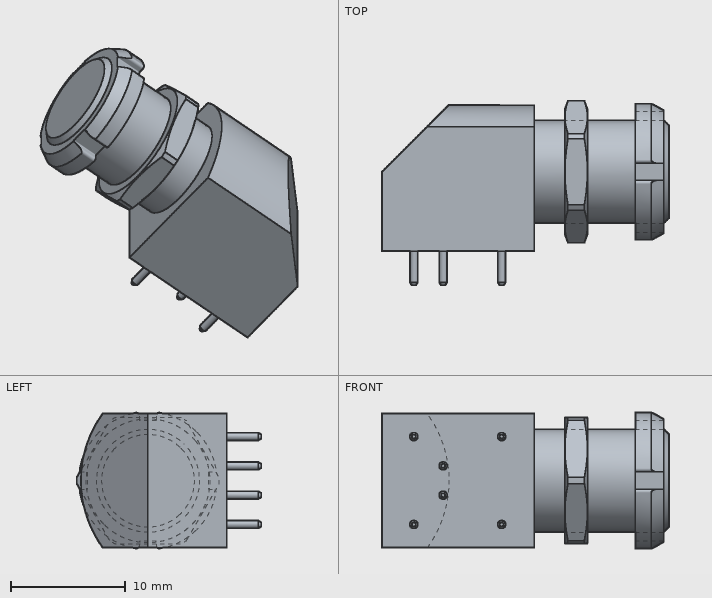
import cadquery as cq
import math


BLOCK_LENGTH = 13.28
BLOCK_HALF_HEIGHT = 5.85
BLOCK_BOTTOM_Y = -6.9
CROWN_TOP_Y = 5.82
CROWN_EDGE_Y = 3.92

OVERALL_LENGTH = 25.0
BARREL_RADIUS = 8.98 / 2
BARREL_TIP_CHAMFER = 0.45

PIN_RADIUS = 0.7 / 2
PIN_END_Y = -9.9
PIN_TIP_LENGTH = 0.28
PIN_TIP_RADIUS = 0.18
PIN_PITCH = 2.55
FIRST_PIN_X = 2.78
PIN_PLACES = [
    (FIRST_PIN_X + column * PIN_PITCH, side * row * PIN_PITCH)
    for column, row in ((0, 1.5), (1, 0.5), (3, 1.5))
    for side in (-1, 1)
]

NUT_START_X = 15.9
NUT_WIDTH = 2.02
NUT_ACROSS_FLATS = 11.0
NUT_CORNER_RADIUS = 6.2
NUT_FACE_RADIUS = 5.4
NUT_BEVEL_LENGTH = 0.3

RING_START_X = 22.08
RING_END_X = OVERALL_LENGTH - BARREL_TIP_CHAMFER
RING_CONE_START_X = 23.45
RING_RADIUS = 12.02 / 2
RING_END_RADIUS = 5.4
SLOT_COUNT = 4
SLOT_WIDTH = 1.5
SLOT_FLOOR_RADIUS = 5.25
SLOT_FLOOR_FILLET = 0.08
SLOT_EDGE_FILLET = 0.25


def x_cylinder(radius, start_x, end_x):
    """Solid cylinder on the X axis."""
    return cq.Workplane("YZ", origin=(start_x, 0, 0)).circle(radius).extrude(end_x - start_x)


def revolve_about_x(points):
    """Revolve a closed outline of (x, radius) points about the X axis."""
    return cq.Workplane("XY").polyline(points).close().revolve(360, (0, 0, 0), (1, 0, 0))


def make_block():
    """Block with an arched crown and its rear upper corner cut off at 45 degrees."""
    block = (
        cq.Workplane("YZ")
        .moveTo(BLOCK_BOTTOM_Y, -BLOCK_HALF_HEIGHT)
        .lineTo(CROWN_EDGE_Y, -BLOCK_HALF_HEIGHT)
        .threePointArc((CROWN_TOP_Y, 0), (CROWN_EDGE_Y, BLOCK_HALF_HEIGHT))
        .lineTo(BLOCK_BOTTOM_Y, BLOCK_HALF_HEIGHT)
        .close()
        .extrude(BLOCK_LENGTH)
    )
    corner = (
        cq.Workplane("XY")
        .polyline([(0, 0), (CROWN_TOP_Y, CROWN_TOP_Y), (0, CROWN_TOP_Y)])
        .close()
        .extrude(BLOCK_HALF_HEIGHT, both=True)
    )
    return block.cut(corner)


def make_pin():
    """Contact pin with a tapered tip, pointing along -Y from the block's -Y face."""
    shoulder_y = PIN_END_Y + PIN_TIP_LENGTH
    outline = [
        (0, BLOCK_BOTTOM_Y),
        (PIN_RADIUS, BLOCK_BOTTOM_Y),
        (PIN_RADIUS, shoulder_y),
        (PIN_TIP_RADIUS, PIN_END_Y),
        (0, PIN_END_Y),
    ]
    return cq.Workplane("XY").polyline(outline).close().revolve(360, (0, 0, 0), (0, 1, 0))


def make_housing():
    """Block, barrel and contact pins as one body."""
    barrel = x_cylinder(BARREL_RADIUS, BLOCK_LENGTH, OVERALL_LENGTH)
    barrel = barrel.faces(">X").edges().chamfer(BARREL_TIP_CHAMFER)
    housing_body = make_block().union(barrel)
    pin = make_pin()
    for x, z in PIN_PLACES:
        housing_body = housing_body.union(pin.translate((x, 0, z)))
    return housing_body


def make_hex_nut():
    """Hexagonal nut with corners pointing along Y, bevelled on both faces."""
    end_x = NUT_START_X + NUT_WIDTH
    across_corners = NUT_ACROSS_FLATS / math.cos(math.pi / 6)
    prism = cq.Workplane("YZ", origin=(NUT_START_X, 0, 0)).polygon(6, across_corners).extrude(NUT_WIDTH)
    envelope = revolve_about_x([
        (NUT_START_X, 0),
        (NUT_START_X, NUT_FACE_RADIUS),
        (NUT_START_X + NUT_BEVEL_LENGTH, NUT_CORNER_RADIUS),
        (end_x - NUT_BEVEL_LENGTH, NUT_CORNER_RADIUS),
        (end_x, NUT_FACE_RADIUS),
        (end_x, 0),
    ])
    bore = x_cylinder(BARREL_RADIUS, NUT_START_X, end_x)
    return prism.intersect(envelope).cut(bore)


def make_slot_cutter():
    """Cutter for the +Y wrench slot, with rounded floor corners and rounded outer edges."""
    half_width = SLOT_WIDTH / 2
    round_center_z = half_width + SLOT_EDGE_FILLET
    center_distance = RING_RADIUS - SLOT_EDGE_FILLET
    round_center_y = math.sqrt(center_distance**2 - round_center_z**2)
    rim_scale = RING_RADIUS / center_distance
    rim_y = round_center_y * rim_scale
    rim_z = round_center_z * rim_scale
    middle_angle = (math.pi + math.atan2(rim_y, rim_z)) / 2
    middle_y = round_center_y + SLOT_EDGE_FILLET * math.sin(middle_angle)
    middle_z = round_center_z + SLOT_EDGE_FILLET * math.cos(middle_angle)

    length = RING_END_X - RING_START_X
    cutter = (
        cq.Workplane("YZ", origin=(RING_START_X, 0, 0))
        .moveTo(SLOT_FLOOR_RADIUS, -half_width)
        .lineTo(round_center_y, -half_width)
        .threePointArc((middle_y, -middle_z), (rim_y, -rim_z))
        .lineTo(RING_RADIUS, -rim_z)
        .lineTo(RING_RADIUS, rim_z)
        .lineTo(rim_y, rim_z)
        .threePointArc((middle_y, middle_z), (round_center_y, half_width))
        .lineTo(SLOT_FLOOR_RADIUS, half_width)
        .close()
        .extrude(length)
    )
    return cutter.faces("<Y").edges("|X").fillet(SLOT_FLOOR_FILLET)


def make_ring_nut():
    """Ring nut with a tapered front and wrench slots around its rim."""
    ring = revolve_about_x([
        (RING_START_X, BARREL_RADIUS),
        (RING_START_X, RING_RADIUS),
        (RING_CONE_START_X, RING_RADIUS),
        (RING_END_X, RING_END_RADIUS),
        (RING_END_X, BARREL_RADIUS),
    ])
    cutter = make_slot_cutter()
    for index in range(SLOT_COUNT):
        angle = index * 360 / SLOT_COUNT
        ring = ring.cut(cutter.rotate((0, 0, 0), (1, 0, 0), angle))
    return ring


housing = make_housing()
hex_nut = make_hex_nut()
ring_nut = make_ring_nut()

result = cq.Compound.makeCompound([housing.val(), hex_nut.val(), ring_nut.val()])